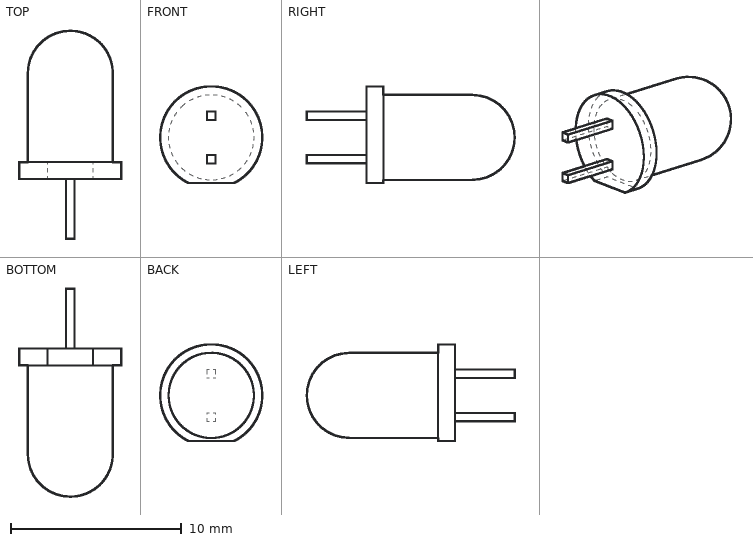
import cadquery as cq

total_length = 12.2
lead_length = 3.5
lead_width = 0.5
lead_spacing = 2.54
flange_radius = 3.0
flange_thickness = 1.0
flat_distance = 2.68
barrel_radius = 2.5

housing_length = total_length - lead_length
dome_start = housing_length - barrel_radius


def make_bullet():
    """Round barrel with a hemispherical end, revolved about the Y axis."""
    dome_mid = barrel_radius * 0.5 ** 0.5
    return (
        cq.Workplane("XY")
        .lineTo(barrel_radius, 0)
        .lineTo(barrel_radius, dome_start)
        .threePointArc((dome_mid, dome_start + dome_mid), (0, housing_length))
        .close()
        .revolve(360, (0, 0, 0), (0, 1, 0))
    )


def make_flange():
    """Disc with a flat on its -Z side."""
    disc = cq.Workplane("XZ").circle(flange_radius).extrude(-flange_thickness)
    kept_region = cq.Workplane("XY").box(
        2 * flange_radius,
        flange_thickness,
        flat_distance + flange_radius,
        centered=(True, False, False),
    ).translate((0, 0, -flat_distance))
    return disc.intersect(kept_region)


def make_housing():
    """One-piece lens: the domed barrel and its flange."""
    return make_bullet().union(make_flange())


def make_lead(z_center):
    """Square lead standing on the flange face and pointing toward -Y."""
    return (
        cq.Workplane("XZ")
        .center(0, z_center)
        .rect(lead_width, lead_width)
        .extrude(lead_length)
    )


housing = make_housing()
leads = [make_lead(side * lead_spacing / 2) for side in (-1, 1)]

result = cq.Compound.makeCompound([housing.val(), *[lead.val() for lead in leads]])